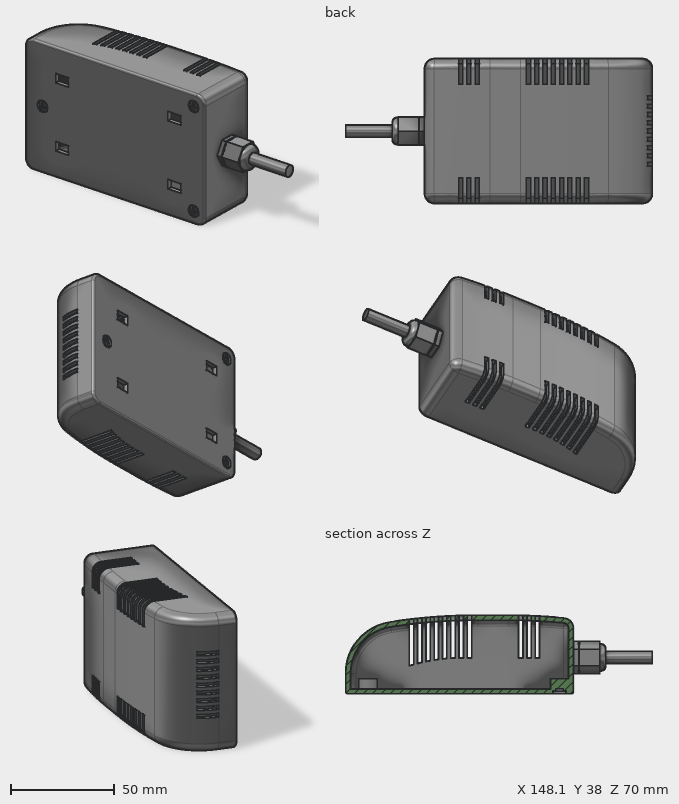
import cadquery as cq
import math


case_length = 110.0
case_width = 70.0
case_height = 38.0
edge_radius = 5.0
base_edge_radius = 1.2
wall = 2.5
nose_straight = 9.9
nose_radius = 25.2
crown_start = 63.7
crown_end = 78.5

parting_arc_end = 56.0
parting_height = 15.7
parting_radius = 86.8

slot_pitch = 4.0
slot_width = slot_pitch / 2
front_vent_start = 31.8
front_vent_count = 8
rear_vent_start = 84.5
rear_vent_count = 3
vent_reach = 12.5
vent_rise = 1.8
nose_vent_count = 9
nose_vent_top = 20.1

window_length = 7.8
window_width = 5.0
window_xs = (22.8, 91.5)
window_z = 18.2

screw_places = ((10.8, 0.7), (103.2, 28.0), (103.2, -28.0))
screw_head_diameter = 6.2
screw_head_depth = 1.3
screw_diameter = 3.5
screw_depth = wall
post_diameter = 8.9
post_height = 7.4

gland_height = 17.6
hex_across_flats = 13.6
collar_length = 2.4
groove_width = 0.5
groove_diameter = 12.5
nut_length = 9.9
dome_diameter = 13.2
dome_length = 2.8
dome_radius = 2.5
cable_diameter = 6.0
cable_end = 148.1


def crown_radius():
    """Radius of the lid arc that meets both the nose arc and the flat crown smoothly."""
    run = crown_start - nose_radius
    rise = case_height - nose_straight - nose_radius
    return nose_radius + (run ** 2 + rise ** 2) / (2 * rise)


def case_block(inset):
    """Square-edged case body, moved inward by inset on every side."""
    lid_radius = crown_radius()
    nose_r = nose_radius - inset
    lid_r = lid_radius - inset
    lid_center_y = case_height - lid_radius
    right = case_length - inset
    top = case_height - inset

    lean = math.atan2(crown_start - nose_radius, nose_straight - lid_center_y)

    def on_nose(angle):
        return nose_radius - nose_r * math.sin(angle), nose_straight + nose_r * math.cos(angle)

    def on_lid(center_x, angle):
        return center_x + lid_r * math.sin(angle), lid_center_y + lid_r * math.cos(angle)

    tail = math.asin((right - crown_end) / lid_r)
    return (
        cq.Workplane("XY", origin=(0, 0, inset - case_width / 2))
        .moveTo(inset, inset)
        .lineTo(inset, nose_straight)
        .threePointArc(on_nose((math.pi / 2 + lean) / 2), on_nose(lean))
        .threePointArc(on_lid(crown_start, -lean / 2), (crown_start, top))
        .lineTo(crown_end, top)
        .threePointArc(on_lid(crown_end, tail / 2), on_lid(crown_end, tail))
        .lineTo(right, inset)
        .close()
        .extrude(case_width - 2 * inset)
    )


def rounded_case(inset):
    """Case body with every edge rounded except those around the base."""
    block = case_block(inset)
    above_base = block.edges().filter(lambda edge: edge.Center().y > inset + base_edge_radius)
    return above_base.fillet(edge_radius - inset)


def vent_zone():
    """Region above the parting line, raised by the vent gap, across the whole width."""
    radius = parting_radius - vent_rise
    level = parting_height + vent_rise
    center_y = level - radius
    start_angle = math.asin((parting_arc_end - front_vent_start + slot_pitch) / radius)

    def on_arc(angle):
        return parting_arc_end - radius * math.sin(angle), center_y + radius * math.cos(angle)

    start = on_arc(start_angle)
    return (
        cq.Workplane("XY", origin=(0, 0, -case_width / 2))
        .moveTo(*start)
        .threePointArc(on_arc(start_angle / 2), (parting_arc_end, level))
        .lineTo(case_length, level)
        .lineTo(case_length, case_height)
        .lineTo(start[0], case_height)
        .close()
        .extrude(case_width)
    )


def side_vents():
    """Slots through both sides that wrap over the crown."""
    centers = [front_vent_start + i * slot_pitch for i in range(front_vent_count)]
    centers += [rear_vent_start + i * slot_pitch for i in range(rear_vent_count)]
    reach_center = (case_width - vent_reach) / 2
    slots = (
        cq.Workplane("XZ")
        .pushPoints([(x, side * reach_center) for x in centers for side in (-1, 1)])
        .rect(slot_width, vent_reach)
        .extrude(-case_height)
    )
    return slots.intersect(vent_zone())


def nose_vents():
    """Column of slots through the nose wall, just above its upright part."""
    height = nose_vent_top - nose_straight
    depth = nose_radius / 2
    return (
        cq.Workplane("YZ", origin=(0, nose_straight + height / 2, 0))
        .rarray(height, slot_pitch, 1, nose_vent_count)
        .rect(height, slot_width)
        .extrude(depth)
    )


def mounting_windows():
    """Four rectangular openings through the base plate."""
    return (
        cq.Workplane("XZ")
        .pushPoints([(x, side * window_z) for x in window_xs for side in (-1, 1)])
        .rect(window_length, window_width)
        .extrude(-wall)
    )


def cylinders_from_base(diameter, height):
    """One cylinder at each screw, rising from the base."""
    return cq.Workplane("XZ").pushPoints(screw_places).circle(diameter / 2).extrude(-height)


def cable_gland():
    """Hexagonal collar and nut with a groove between them, a domed end and the cable."""
    start = case_length - wall / 2
    groove_start = case_length + collar_length
    nut_start = groove_start + groove_width
    nut_end = nut_start + nut_length
    dome_end = nut_end + dome_length

    def section(x):
        return cq.Workplane("YZ", origin=(x, gland_height, 0))

    def hexagon(x_from, x_to):
        corner_diameter = hex_across_flats / math.cos(math.pi / 6)
        return section(x_from).polygon(6, corner_diameter).extrude(x_to - x_from)

    def cylinder(x_from, x_to, diameter):
        return section(x_from).circle(diameter / 2).extrude(x_to - x_from)

    dome = cylinder(nut_end, dome_end, dome_diameter).faces(">X").edges().fillet(dome_radius)
    return (
        hexagon(start, groove_start)
        .union(cylinder(groove_start, nut_start, groove_diameter))
        .union(hexagon(nut_start, nut_end))
        .union(dome)
        .union(cylinder(dome_end, cable_end, cable_diameter))
    )


outer = rounded_case(0).faces("<Y").edges().fillet(base_edge_radius)
posts = cylinders_from_base(post_diameter, post_height).intersect(outer)
case = outer.cut(rounded_case(wall)).union(posts)

case = case.cut(side_vents()).cut(nose_vents()).cut(mounting_windows())
case = case.cut(cylinders_from_base(screw_head_diameter, screw_head_depth))
case = case.cut(cylinders_from_base(screw_diameter, screw_depth))

result = case.union(cable_gland())